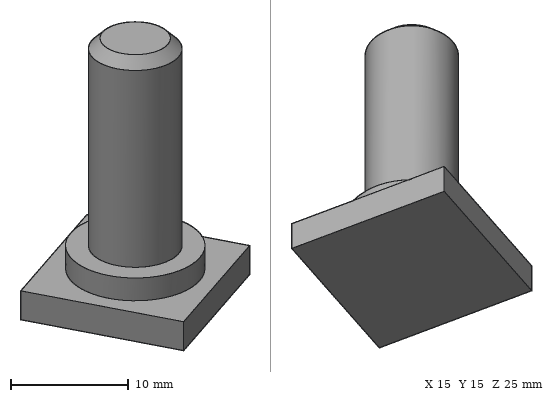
import cadquery as cq

total_height = 25.0

head_side = 15.0
head_thickness = 2.8

collar_diameter = 11.9
collar_top = 5.0
collar_thickness = collar_top - head_thickness

shank_diameter = 8.0
shank_length = total_height - collar_top
tip_chamfer = 1.0


def make_head():
    """Square plate resting on the XY plane, centred on the Z axis."""
    return cq.Workplane("XY").rect(head_side, head_side).extrude(head_thickness)


def add_collar(body):
    """Round step on top of the square head."""
    return body.faces(">Z").workplane().circle(collar_diameter / 2).extrude(collar_thickness)


def add_shank(body):
    """Cylindrical shank rising from the collar, chamfered at its free end."""
    shank = body.faces(">Z").workplane().circle(shank_diameter / 2).extrude(shank_length)
    return shank.faces(">Z").edges().chamfer(tip_chamfer)


result = add_shank(add_collar(make_head()))